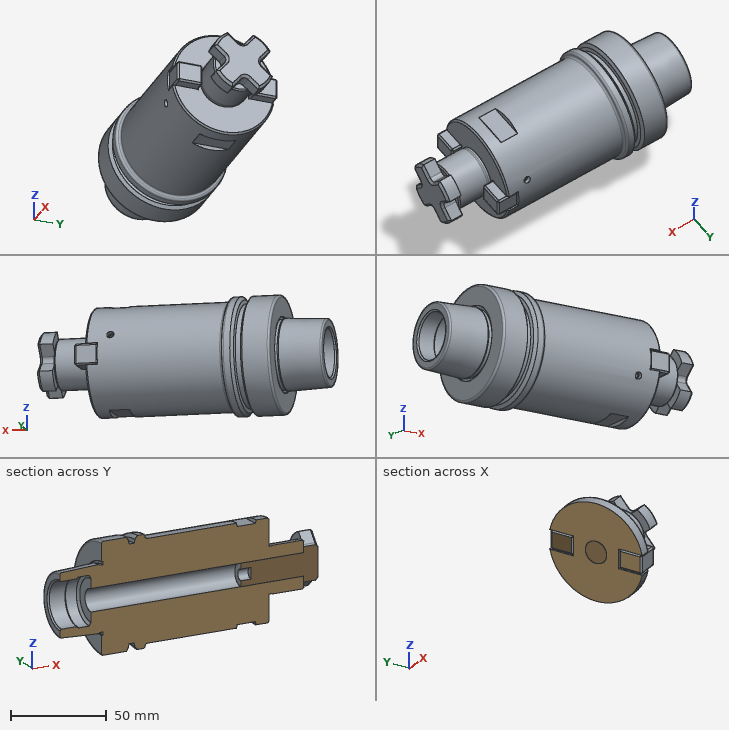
import cadquery as cq
import math


NOSE_RADIUS = 36.2 / 2
NOSE_FILLET = 1.0
TAPER_RADIUS = 38.3 / 2
TAPER_END = 23.1
ROOT_RADIUS = 18.6
ROOT_START = 23.9
FACE_GROOVE_RADIUS = 20.2
FACE_GROOVE_DEPTH = 1.0

FLANGE_RADIUS = 63.0 / 2
FLANGE_FACE = 24.8
FLANGE_FILLET = 1.2
FLANGE_RIM_END = 39.7
GROOVE_EDGE_RADIUS = 29.5
GROOVE_RADIUS = 27.5
GROOVE_START = 41.0
GROOVE_END = 44.7
GROOVE_WALL_RUN = 0.5
COLLAR_RIM_START = 46.2
COLLAR_END = 51.0

BODY_RADIUS = 29.0
BODY_END = 124.9
BODY_CHAMFER = 1.0
COLLAR_FILLET = (FLANGE_RADIUS - BODY_RADIUS) / 2

NECK_RADIUS = 13.2
NECK_END = 126.1
SPIGOT_RADIUS = 13.5
SPIGOT_START = 127.2
SPIGOT_END = 145.5
SPIGOT_CHAMFER = 0.8

BORE_MOUTH_RADIUS = 13.9
BORE_RADIUS = 26.0 / 2
BORE_LIP_END = 10.2
BORE_RELIEF_RADIUS = 13.9
BORE_FLOOR_RADIUS = 12.0
BORE_FLOOR = 18.5
BORE_SHOULDER_ANGLE = 60

FLAT_HEIGHT = 27.1
FLAT_START = 106.0
FLAT_END = 116.5
FLAT_WALL_RUN = 0.6

KEY_START = 118.3
KEY_END = 130.9
KEY_WIDTH = 11.4
KEY_INNER = 14.0
KEY_OUTER = 28.0
KEY_CHAMFER = 1.0

SET_SCREW_X = 111.6
SET_SCREW_ANGLE = 20
SET_SCREW_RADIUS = 1.8
SET_SCREW_RECESS = 2.8
SET_SCREW_LENGTH = 7.7
SET_SCREW_OUTER = BODY_RADIUS - SET_SCREW_RECESS
SET_SCREW_INNER = SET_SCREW_OUTER - SET_SCREW_LENGTH
SOCKET_RADIUS = 1.2
SOCKET_DEPTH = 4.6

HEAD_END = 154.0
HEAD_RADIUS = 35.0 / 2
HEAD_CHAMFER = 1.4
ARM_WIDTH = 12.2
ARM_ANGLE = 40
ARM_ROOT_FILLET = 2.6
SHANK_RADIUS = 6.3
SHANK_START = 107.8
SHANK_BORE_RADIUS = 3.1
SHANK_BORE_DEPTH = 6.2


def revolve_about_x(profile):
    """Turn a closed XZ profile about the X axis."""
    return profile.revolve(360, (0, 0, 0), (1, 0, 0))


def cylinder_along_x(radius, start, end):
    """Round bar on the X axis between two X positions."""
    return cq.Workplane("YZ", origin=(start, 0, 0)).circle(radius).extrude(end - start)


def turned_blank():
    """Outside of the holder from the nose to the spigot."""
    profile = (
        cq.Workplane("XZ")
        .lineTo(0, NOSE_RADIUS - NOSE_FILLET)
        .radiusArc((NOSE_FILLET, NOSE_RADIUS), NOSE_FILLET)
        .lineTo(TAPER_END, TAPER_RADIUS)
        .lineTo(ROOT_START, ROOT_RADIUS)
        .lineTo(FLANGE_FACE + FACE_GROOVE_DEPTH, ROOT_RADIUS)
        .lineTo(FLANGE_FACE + FACE_GROOVE_DEPTH, FACE_GROOVE_RADIUS)
        .lineTo(FLANGE_FACE, FACE_GROOVE_RADIUS)
        .lineTo(FLANGE_FACE, FLANGE_RADIUS - FLANGE_FILLET)
        .radiusArc((FLANGE_FACE + FLANGE_FILLET, FLANGE_RADIUS), FLANGE_FILLET)
        .lineTo(FLANGE_RIM_END, FLANGE_RADIUS)
        .lineTo(GROOVE_START, GROOVE_EDGE_RADIUS)
        .lineTo(GROOVE_START + GROOVE_WALL_RUN, GROOVE_RADIUS)
        .lineTo(GROOVE_END - GROOVE_WALL_RUN, GROOVE_RADIUS)
        .lineTo(GROOVE_END, GROOVE_EDGE_RADIUS)
        .lineTo(COLLAR_RIM_START, FLANGE_RADIUS)
        .lineTo(COLLAR_END - COLLAR_FILLET, FLANGE_RADIUS)
        .radiusArc((COLLAR_END, FLANGE_RADIUS - COLLAR_FILLET), COLLAR_FILLET)
        .radiusArc((COLLAR_END + COLLAR_FILLET, BODY_RADIUS), -COLLAR_FILLET)
        .lineTo(BODY_END - BODY_CHAMFER, BODY_RADIUS)
        .lineTo(BODY_END, BODY_RADIUS - BODY_CHAMFER)
        .lineTo(BODY_END, NECK_RADIUS)
        .lineTo(NECK_END, NECK_RADIUS)
        .lineTo(SPIGOT_START, SPIGOT_RADIUS)
        .lineTo(SPIGOT_END - SPIGOT_CHAMFER, SPIGOT_RADIUS)
        .lineTo(SPIGOT_END, SPIGOT_RADIUS - SPIGOT_CHAMFER)
        .lineTo(SPIGOT_END, 0)
        .close()
    )
    return revolve_about_x(profile)


def clamping_bore():
    """Bore in the nose: chamfered mouth, lip, wider relief and a coned shoulder at the floor."""
    mouth_depth = BORE_MOUTH_RADIUS - BORE_RADIUS
    relief_step = BORE_RELIEF_RADIUS - BORE_RADIUS
    shoulder_run = (BORE_RELIEF_RADIUS - BORE_FLOOR_RADIUS) / math.tan(math.radians(BORE_SHOULDER_ANGLE))
    profile = (
        cq.Workplane("XZ")
        .lineTo(0, BORE_MOUTH_RADIUS)
        .lineTo(mouth_depth, BORE_RADIUS)
        .lineTo(BORE_LIP_END, BORE_RADIUS)
        .lineTo(BORE_LIP_END + relief_step, BORE_RELIEF_RADIUS)
        .lineTo(BORE_FLOOR - shoulder_run, BORE_RELIEF_RADIUS)
        .lineTo(BORE_FLOOR, BORE_FLOOR_RADIUS)
        .lineTo(BORE_FLOOR, 0)
        .close()
    )
    return revolve_about_x(profile)


def wrench_flat(side):
    """Cutter with sloping ends for the flat on the top (side = 1) or bottom (side = -1)."""
    slope = FLAT_WALL_RUN / (BODY_RADIUS - FLAT_HEIGHT)
    top = FLANGE_RADIUS
    top_run = slope * (top - FLAT_HEIGHT)
    return (
        cq.Workplane("XZ")
        .moveTo(FLAT_START, side * FLAT_HEIGHT)
        .lineTo(FLAT_END, side * FLAT_HEIGHT)
        .lineTo(FLAT_END + top_run, side * top)
        .lineTo(FLAT_START - top_run, side * top)
        .close()
        .extrude(BODY_RADIUS, both=True)
    )


def key_block(end, outer, side):
    """Box in the place of the drive key on the +Y (side = 1) or -Y (side = -1) side."""
    length = end - KEY_START
    depth = outer - KEY_INNER
    centre = (KEY_START + length / 2, side * (KEY_INNER + depth / 2), 0)
    return cq.Workplane("XY").box(length, depth, KEY_WIDTH).translate(centre)


def drive_key(side):
    """Rectangular key with all edges chamfered."""
    return key_block(KEY_END, KEY_OUTER, side).edges().chamfer(KEY_CHAMFER)


def key_slot(side):
    """Cutter for the slot that holds a drive key, open at the end face and at the body surface."""
    return key_block(BODY_END, BODY_RADIUS, side)


def set_screw_plane(side, radius):
    """Plane across the axis of a set screw, facing out of the body on the side = 1 or -1 side."""
    angle = math.radians(SET_SCREW_ANGLE)
    outward = (0, side * math.cos(angle), side * math.sin(angle))
    origin = (SET_SCREW_X, radius * outward[1], radius * outward[2])
    return cq.Workplane(cq.Plane(origin=origin, xDir=(1, 0, 0), normal=outward))


def set_screw(side):
    """Headless screw with a round socket."""
    body = set_screw_plane(side, SET_SCREW_INNER).circle(SET_SCREW_RADIUS).extrude(SET_SCREW_LENGTH)
    socket = set_screw_plane(side, SET_SCREW_OUTER).circle(SOCKET_RADIUS).extrude(-SOCKET_DEPTH)
    return body.cut(socket)


def set_screw_hole(side):
    """Cutter for the hole that a set screw sits in, recessed below the body surface."""
    depth = FLANGE_RADIUS - SET_SCREW_INNER
    return set_screw_plane(side, SET_SCREW_INNER).circle(SET_SCREW_RADIUS).extrude(depth)


def holder_body():
    """Turned body with its bores, wrench flats, key slots and set screw holes."""
    shank_passage = cylinder_along_x(SHANK_RADIUS, BORE_FLOOR, SPIGOT_END)
    body = turned_blank().cut(clamping_bore()).cut(shank_passage)
    for side in (1, -1):
        body = body.cut(wrench_flat(side))
        body = body.cut(key_slot(side))
        body = body.cut(set_screw_hole(side))
    return body


def screw_head():
    """Four-armed head with rounded corners between the arms and a chamfered end face."""
    thickness = HEAD_END - SPIGOT_END
    plane = cq.Workplane("YZ", origin=(SPIGOT_END, 0, 0))
    bar_length = 2 * HEAD_RADIUS + ARM_WIDTH
    cross = plane.rect(bar_length, ARM_WIDTH).extrude(thickness)
    cross = cross.union(plane.rect(ARM_WIDTH, bar_length).extrude(thickness))
    reach = (ARM_WIDTH + ARM_ROOT_FILLET) / 2
    corners = cq.selectors.BoxSelector((SPIGOT_END, -reach, -reach), (HEAD_END, reach, reach))
    cross = cross.edges("|X").edges(corners).fillet(ARM_ROOT_FILLET)
    rim = cylinder_along_x(HEAD_RADIUS, SPIGOT_END, HEAD_END)
    head = cross.intersect(rim).faces(">X").chamfer(HEAD_CHAMFER)
    return head.rotate((0, 0, 0), (1, 0, 0), -ARM_ANGLE)


def retaining_screw():
    """Four-armed head on a shank that fills the passage, with a blind bore in the shank end."""
    shank = cylinder_along_x(SHANK_RADIUS, SHANK_START, SPIGOT_END)
    bore = cylinder_along_x(SHANK_BORE_RADIUS, SHANK_START, SHANK_START + SHANK_BORE_DEPTH)
    return screw_head().union(shank).cut(bore)


holder = holder_body()
screw = retaining_screw()
keys = [drive_key(side) for side in (1, -1)]
set_screws = [set_screw(side) for side in (1, -1)]

result = cq.Compound.makeCompound(
    [
        holder.val(),
        screw.val(),
        *[key.val() for key in keys],
        *[set_screw_body.val() for set_screw_body in set_screws],
    ]
)